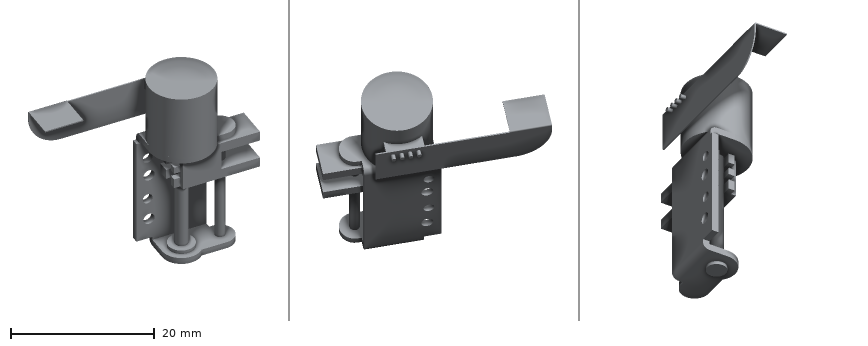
import cadquery as cq


SHEET = 1.0
PLATE_X = -4.0
PLATE_REAR_Y = 5.43
PLATE_FRONT_Y = -5.5
PLATE_NOTCH = 0.48
LOWER_FLANGE_R = 3.0
EAR_R = 2.2
BRACKET_BOTTOM = 0.5
BRACKET_TOP = 20.3
LOWER_FLANGE_TOP = BRACKET_BOTTOM + SHEET
UPPER_FLANGE_BOTTOM = BRACKET_TOP - SHEET

SMALL_HOLE = (0.75, -3.75, (8.82, 15.83))
LARGE_HOLE = (0.85, -3.52, (5.3, 12.8))

BUSHING_FLANGE_R = 2.03
BUSHING_FLANGE_H = 0.57
BUSHING_PLUG_R = 1.5
BUSHING_TOP = LOWER_FLANGE_TOP + BUSHING_FLANGE_H

ROD_R = 0.75
ROD_Y = 6.0

MOTOR_R = 5.0
MOTOR_H = 10.0
SHAFT_DIAMETER = 2.0
SHAFT_R = SHAFT_DIAMETER / 2

STRIP_T = 0.2
STRIP_X = -6.2
STRIP_INNER_X = STRIP_X + STRIP_T
STRIP_REAR_Y = 4.25
STRIP_FRONT_Y = -20.75
STRIP_BOTTOM = 21.13
STRIP_TOP = 27.2
STRIP_CORNER_R = 5.0
TAB_LENGTH = 5.95
TAB_END_X = -0.92

BLOCK_WIDTH = 5.45
BLOCK_BOTTOM = 25.5
BLOCK_TOP = 27.03
PIN_COUNT = 4
PIN_PITCH = 1.2
PIN_R = 0.32
PIN_END_X = -6.98

SLIDER_HALF_WIDTH = 2.5
SLIDER_BOTTOM = 13.15
SLIDER_H = 6.0
ARM_H = 1.52
MIDDLE_JAW_H = 1.05
SLIDER_REAR_Y = 10.98
SLIDER_FRONT_Y = -1.0
JAW_FRONT_Y = -2.0
JAW_OUTER_X = 1.7
JAW_GAP = 1.52
RECESS_CLEARANCE = 1.43
WEB_REAR_Y = 5.0


def block(x0, x1, y0, y1, z0, z1):
    """Box given by its limits along each axis."""
    return cq.Workplane("XY").box(x1 - x0, y1 - y0, z1 - z0, centered=False).translate((x0, y0, z0))


def cylinder(radius, z0, z1, y=0):
    """Upright cylinder centred on X = 0."""
    return cq.Workplane("XY", origin=(0, y, z0)).circle(radius).extrude(z1 - z0)


def side_cylinder(radius, y, z, x0, x1):
    """Cylinder lying along X."""
    return cq.Workplane("YZ", origin=(x0, y, z)).circle(radius).extrude(x1 - x0)


def make_flange(radius, z0):
    """End flange: rounded around the shaft, with an ear around the guide rod."""
    z1 = z0 + SHEET
    flange = block(PLATE_X, 0, -radius, PLATE_REAR_Y, z0, z1)
    flange = flange.union(cylinder(radius, z0, z1))
    flange = flange.union(block(-EAR_R, EAR_R, 0, ROD_Y, z0, z1))
    return flange.union(cylinder(EAR_R, z0, z1, ROD_Y))


def make_bracket():
    """Bent bracket with its mounting holes and the lower bushing."""
    plate_inner_x = PLATE_X + SHEET
    wide_bottom = LOWER_FLANGE_TOP + PLATE_NOTCH
    wide_top = UPPER_FLANGE_BOTTOM - PLATE_NOTCH

    bracket = block(PLATE_X, plate_inner_x, PLATE_FRONT_Y, PLATE_REAR_Y, wide_bottom, wide_top)
    for front_y, z0, z1 in (
        (-LOWER_FLANGE_R, BRACKET_BOTTOM, wide_bottom),
        (-MOTOR_R, wide_top, BRACKET_TOP),
    ):
        bracket = bracket.union(block(PLATE_X, plate_inner_x, front_y, PLATE_REAR_Y, z0, z1))

    flanges = make_flange(LOWER_FLANGE_R, BRACKET_BOTTOM).union(make_flange(MOTOR_R, UPPER_FLANGE_BOTTOM))
    flanges = flanges.cut(block(-2 * MOTOR_R, PLATE_X, -MOTOR_R, MOTOR_R, BRACKET_BOTTOM, BRACKET_TOP))
    bracket = bracket.union(flanges)

    for selector in ("<Z", ">Z"):
        bracket = bracket.faces(selector).edges("<X").fillet(SHEET)

    for radius, y, heights in (SMALL_HOLE, LARGE_HOLE):
        for z in heights:
            bracket = bracket.cut(side_cylinder(radius, y, z, PLATE_X, plate_inner_x))

    bracket = bracket.cut(cylinder(SHAFT_R, UPPER_FLANGE_BOTTOM, BRACKET_TOP))
    bracket = bracket.cut(cylinder(ROD_R, BRACKET_BOTTOM, BRACKET_TOP, ROD_Y))

    bracket = bracket.union(cylinder(BUSHING_PLUG_R, 0, BRACKET_BOTTOM))
    return bracket.union(cylinder(BUSHING_FLANGE_R, LOWER_FLANGE_TOP, BUSHING_TOP))


def make_guide_rod():
    return cylinder(ROD_R, BRACKET_BOTTOM, BRACKET_TOP, ROD_Y)


def make_strip():
    """Upright circuit strip with one round lower corner and a tab folded over its top edge."""
    strip = block(STRIP_X, STRIP_INNER_X, STRIP_FRONT_Y, STRIP_REAR_Y, STRIP_BOTTOM, STRIP_TOP)
    strip = strip.edges("|X and <Y and <Z").fillet(STRIP_CORNER_R)

    tab = (
        cq.Workplane("XZ", origin=(0, STRIP_FRONT_Y, 0))
        .moveTo(STRIP_INNER_X, STRIP_TOP)
        .lineTo(STRIP_X, STRIP_TOP)
        .radiusArc((STRIP_INNER_X, STRIP_TOP + STRIP_T), STRIP_T)
        .lineTo(TAB_END_X, STRIP_TOP + STRIP_T)
        .lineTo(TAB_END_X, STRIP_TOP)
        .close()
        .extrude(-TAB_LENGTH)
    )
    return strip.union(tab)


def make_motor():
    """Motor can with its shaft, terminal block, circuit strip and pins as one solid."""
    motor = cylinder(MOTOR_R, BRACKET_TOP, BRACKET_TOP + MOTOR_H)
    motor = motor.union(cylinder(SHAFT_R, BUSHING_TOP, BRACKET_TOP))

    half_block = BLOCK_WIDTH / 2
    motor = motor.union(block(STRIP_INNER_X, 0, -half_block, half_block, BLOCK_BOTTOM, BLOCK_TOP))
    motor = motor.union(make_strip())

    pin_z = (BLOCK_BOTTOM + BLOCK_TOP) / 2
    for i in range(PIN_COUNT):
        pin_y = (i - (PIN_COUNT - 1) / 2) * PIN_PITCH
        motor = motor.union(side_cylinder(PIN_R, pin_y, pin_z, PIN_END_X, STRIP_X))
    return motor


def make_slider():
    """Block around the shaft with front jaws and two rear arms."""
    top = SLIDER_BOTTOM + SLIDER_H
    lower_arm_top = SLIDER_BOTTOM + ARM_H
    upper_arm_bottom = top - ARM_H
    middle = SLIDER_BOTTOM + SLIDER_H / 2
    half = SLIDER_HALF_WIDTH

    slider = block(-half, half, SLIDER_FRONT_Y, SLIDER_REAR_Y, SLIDER_BOTTOM, top)
    slider = slider.union(block(-half, JAW_OUTER_X, JAW_FRONT_Y, SLIDER_FRONT_Y, SLIDER_BOTTOM, top))

    slider = slider.cut(block(-half, half, WEB_REAR_Y, SLIDER_REAR_Y, lower_arm_top, upper_arm_bottom))

    for z0, z1 in (
        (lower_arm_top, middle - MIDDLE_JAW_H / 2),
        (middle + MIDDLE_JAW_H / 2, upper_arm_bottom),
    ):
        slider = slider.cut(block(-half, RECESS_CLEARANCE, JAW_FRONT_Y, RECESS_CLEARANCE, z0, z1))
        slider = slider.cut(block(0, JAW_OUTER_X, JAW_FRONT_Y, SLIDER_FRONT_Y, z0, z1))

    slider = slider.cut(cylinder(SHAFT_R, SLIDER_BOTTOM, top))
    slider = slider.cut(block(-JAW_GAP / 2, JAW_GAP / 2, JAW_FRONT_Y, 0, SLIDER_BOTTOM, top))
    return slider.cut(cylinder(ROD_R, SLIDER_BOTTOM, top, ROD_Y))


bracket = make_bracket()
guide_rod = make_guide_rod()
motor = make_motor()
slider = make_slider()

result = cq.Compound.makeCompound([bracket.val(), guide_rod.val(), motor.val(), slider.val()])